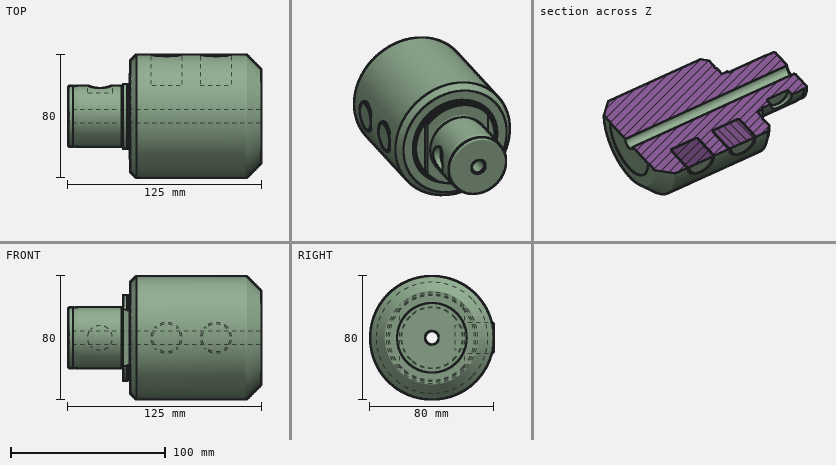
import cadquery as cq
import math

total_length = 125.0
snap_groove_x = 3.1
snap_groove_width = 0.2
lead_in_end_x = 6.9
flange_x = 35.5
flange_neck_x = 38.8
body_x = 40.0
end_boss_height = 0.2
body_end_x = total_length - end_boss_height

shank_radius = 20.0
shank_tip_radius = 19.8
snap_groove_radius = 19.5
flange_radius = 27.8
body_radius = 40.0
body_end_radius = 30.4
end_boss_radius = 22.5

shoulder_x = body_end_x - (body_radius - body_end_radius)

tip_round = 1.2
front_chamfer = 4.0
shoulder_round = 1.5
end_round = 0.8

relief_depth = 0.4
relief_round = 1.0
shank_relief_length = 2.2
flange_relief_slope = 0.6
face_relief_depth = 0.5
face_relief_width = 1.1

flat_width = 42.0
flat_floor_x = 39.6

bore_diameter = 8.5
bore_mouth_diameter = 10.0

seat_diameter = 16.0
seat_x = 20.5
seat_floor_y = 15.0

screw_diameter = 20.0
screw_end_diameter = 18.0
screw_length = 20.0
first_screw_x = 63.5
screw_spacing = 32.0
screw_count = 2
screw_end_y = body_radius
screw_places = [first_screw_x + i * screw_spacing for i in range(screw_count)]

match_tolerance = 0.01

arc_middle = math.sqrt(0.5)


def relief_arc(profile, neck_radius, face_x):
    """Add the concave quarter round from a neck out to the face behind it."""
    centre_x = face_x - relief_round
    centre_r = neck_radius + relief_round
    middle = (centre_x + relief_round * arc_middle, centre_r - relief_round * arc_middle)
    return profile.lineTo(centre_x, neck_radius).threePointArc(middle, (face_x, centre_r))


def cylinder_along_y(diameter, x, y_start, y_end):
    """A round bar parallel to Y, centred on the XY plane."""
    plane = cq.Plane(origin=(x, y_start, 0), xDir=(1, 0, 0), normal=(0, 1, 0))
    return cq.Workplane(plane).circle(diameter / 2).extrude(y_end - y_start)


def turned_blank():
    """Shank, flange and body as one revolved profile around X."""
    shank_neck = shank_radius - relief_depth
    flange_neck = flange_radius - relief_depth
    shank_relief_x = flange_x - shank_relief_length
    relief_floor_x = body_x + face_relief_depth
    relief_outer_radius = flange_neck + relief_round + face_relief_width
    tip_middle = tip_round * (1 - arc_middle)

    profile = (
        cq.Workplane("XY")
        .moveTo(0, 0)
        .lineTo(0, shank_tip_radius - tip_round)
        .threePointArc((tip_middle, shank_tip_radius - tip_middle), (tip_round, shank_tip_radius))
        .lineTo(snap_groove_x, shank_tip_radius)
        .lineTo(snap_groove_x, snap_groove_radius)
        .lineTo(snap_groove_x + snap_groove_width, snap_groove_radius)
        .lineTo(lead_in_end_x, shank_radius)
        .lineTo(shank_relief_x, shank_radius)
    )
    profile = relief_arc(profile, shank_neck, flange_x)
    profile = (
        profile
        .lineTo(flange_x, flange_radius)
        .lineTo(flange_neck_x - flange_relief_slope, flange_radius)
        .lineTo(flange_neck_x, flange_neck)
    )
    profile = relief_arc(profile, flange_neck, relief_floor_x)
    profile = (
        profile
        .lineTo(body_x, relief_outer_radius)
        .lineTo(body_x, body_radius - front_chamfer)
        .lineTo(body_x + front_chamfer, body_radius)
        .lineTo(shoulder_x, body_radius)
        .lineTo(body_end_x, body_end_radius)
        .lineTo(body_end_x, end_boss_radius)
        .lineTo(total_length, end_boss_radius)
        .lineTo(total_length, 0)
        .close()
    )
    return profile.revolve(360, (0, 0, 0), (1, 0, 0))


def round_edge_at(solid, x, radius, fillet):
    """Round the edge that circles the X axis at the given station and radius."""
    circles = solid.edges("%CIRCLE").vals()
    chosen = [
        edge for edge in circles
        if math.isclose(edge.Center().x, x, abs_tol=match_tolerance)
        and math.isclose(edge.radius(), radius, abs_tol=match_tolerance)
    ]
    return solid.newObject(chosen).fillet(fillet)


def wrench_flats():
    """The two side slabs cut away to leave flats on the flange."""
    depth = flat_floor_x - flange_x
    outer = cq.Workplane("YZ", origin=(flange_x, 0, 0)).circle(body_radius).extrude(depth)
    kept = cq.Workplane("YZ", origin=(flange_x, 0, 0)).rect(flat_width, 2 * body_radius).extrude(depth)
    return outer.cut(kept)


def axial_hole():
    """Through hole along X with a chamfered mouth at the shank end."""
    mouth_depth = (bore_mouth_diameter - bore_diameter) / 2
    return (
        cq.Workplane("XY")
        .lineTo(0, bore_mouth_diameter / 2)
        .lineTo(mouth_depth, bore_diameter / 2)
        .lineTo(total_length, bore_diameter / 2)
        .lineTo(total_length, 0)
        .close()
        .revolve(360, (0, 0, 0), (1, 0, 0))
    )


def make_holder():
    holder = turned_blank()
    for x, radius, fillet in (
        (shoulder_x, body_radius, shoulder_round),
        (body_end_x, body_end_radius, end_round),
    ):
        holder = round_edge_at(holder, x, radius, fillet)
    holder = holder.cut(wrench_flats()).cut(axial_hole())
    holder = holder.cut(cylinder_along_y(seat_diameter, seat_x, seat_floor_y, shank_radius))
    for x in screw_places:
        holder = holder.cut(cylinder_along_y(screw_diameter, x, screw_end_y - screw_length, screw_end_y))
    return holder


def make_set_screw(x):
    """Plain screw body with a chamfered outer end."""
    screw = cylinder_along_y(screw_diameter, x, screw_end_y - screw_length, screw_end_y)
    return screw.faces(">Y").chamfer((screw_diameter - screw_end_diameter) / 2)


holder = make_holder()
set_screws = [make_set_screw(x) for x in screw_places]

result = cq.Compound.makeCompound([holder.val(), *[screw.val() for screw in set_screws]])